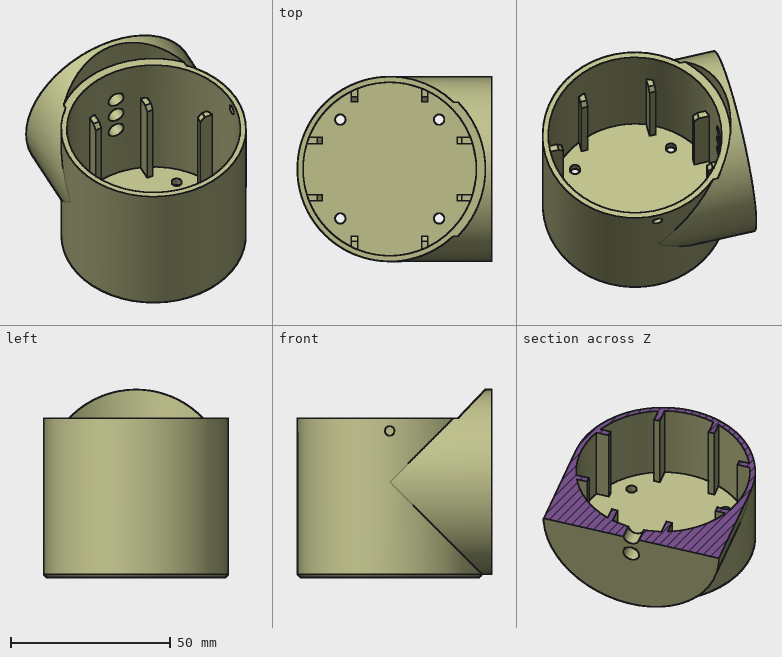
import cadquery as cq

outer_diameter = 58.0
bore_diameter = 54.4
cup_height = 50.0
floor_thickness = 3.0
bottom_chamfer = 1.0

branch_axis_height = bottom_chamfer + outer_diameter / 2
branch_end_x = 32.0
rim_clearance = 1.0

mount_hole_diameter = 3.2
mount_hole_spacing = 31.0

rib_gap = 42.3
rib_width = 2.0
rib_top_height = 35.0
rib_chamfer = 1.5
rib_offset_on_x_sides = 9.0
rib_offset_on_y_sides = 11.0

pin_hole_diameter = 3.0
pin_hole_height = 46.0

passage_diameter = 5.2
passage_spacing = 7.0
passage_heights = [branch_axis_height + step * passage_spacing for step in (-1, 0, 1)]

outer_radius = outer_diameter / 2
bore_radius = bore_diameter / 2
branch_top = branch_axis_height + outer_radius


def make_outer_body():
    cup = cq.Workplane("XY").circle(outer_radius).extrude(cup_height)
    cup = cup.faces("<Z").chamfer(bottom_chamfer)
    branch = (
        cq.Workplane("YZ")
        .center(0, branch_axis_height)
        .circle(outer_radius)
        .extrude(branch_end_x)
    )
    rim_cut = (
        cq.Workplane("XY")
        .workplane(offset=cup_height)
        .circle(outer_radius + rim_clearance)
        .extrude(branch_top - cup_height)
    )
    return cup.union(branch.cut(rim_cut))


def make_bore():
    return (
        cq.Workplane("XY")
        .workplane(offset=floor_thickness)
        .circle(bore_radius)
        .extrude(cup_height - floor_thickness)
    )


def make_rib(offset, side_angle):
    """Rib on the +X side at Y = offset, turned about Z by side_angle degrees."""
    inner_x = rib_gap / 2
    profile = [
        (inner_x, floor_thickness),
        (outer_radius, floor_thickness),
        (outer_radius, rib_top_height),
        (inner_x + rib_chamfer, rib_top_height),
        (inner_x, rib_top_height - rib_chamfer),
    ]
    rib = (
        cq.Workplane("XZ", origin=(0, offset, 0))
        .polyline(profile)
        .close()
        .extrude(rib_width / 2, both=True)
    )
    rib = rib.intersect(make_bore())
    return rib.rotate((0, 0, 0), (0, 0, 1), side_angle)


def make_mount_holes():
    return (
        cq.Workplane("XY")
        .rect(mount_hole_spacing, mount_hole_spacing, forConstruction=True)
        .vertices()
        .circle(mount_hole_diameter / 2)
        .extrude(floor_thickness)
    )


def make_pin_hole():
    return (
        cq.Workplane("XZ")
        .center(0, pin_hole_height)
        .circle(pin_hole_diameter / 2)
        .extrude(outer_radius)
    )


def make_passages():
    return (
        cq.Workplane("YZ")
        .pushPoints([(0, height) for height in passage_heights])
        .circle(passage_diameter / 2)
        .extrude(branch_end_x)
    )


body = make_outer_body().cut(make_bore())
body = body.cut(make_mount_holes()).cut(make_pin_hole()).cut(make_passages())

for side_angle in (0, 90, 180, 270):
    on_x_side = side_angle % 180 == 0
    rib_offset = rib_offset_on_x_sides if on_x_side else rib_offset_on_y_sides
    for direction in (-1, 1):
        body = body.union(make_rib(direction * rib_offset, side_angle))

result = body